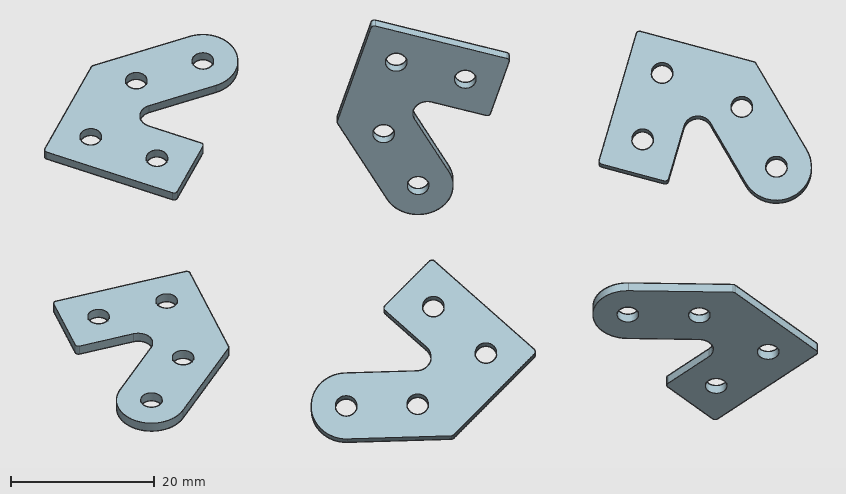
import cadquery as cq
import math

width = 20.02
length = 28.85
thickness = 1.5

leg_height = width / 2
arm_radius = 4.88
arm_angle = 45.0
corner_radius = 0.5
notch_radius = 2.02

hole_diameter = 3.0
hole_pitch = width / 2
hole_edge_distance = leg_height / 2
arm_end_x = 13.82
arm_end_y = length - arm_radius
arm_inner_hole = (6.75, 17.0)

slope = math.radians(arm_angle)
along_x, along_y = math.cos(slope), math.sin(slope)
normal_x, normal_y = -along_y, along_x

upper_tangent = (arm_end_x + arm_radius * normal_x, arm_end_y + arm_radius * normal_y)
lower_tangent = (arm_end_x - arm_radius * normal_x, arm_end_y - arm_radius * normal_y)
arm_tip = (arm_end_x + arm_radius * along_x, arm_end_y + arm_radius * along_y)

shoulder = (0, upper_tangent[1] - upper_tangent[0] * math.tan(slope))
notch = (lower_tangent[0] - (lower_tangent[1] - leg_height) / math.tan(slope), leg_height)


def make_plate():
    """Flat bracket outline with sharp corners and a rounded arm end."""
    return (
        cq.Workplane("XY")
        .moveTo(0, 0)
        .lineTo(width, 0)
        .lineTo(width, leg_height)
        .lineTo(*notch)
        .lineTo(*lower_tangent)
        .threePointArc(arm_tip, upper_tangent)
        .lineTo(*shoulder)
        .close()
        .extrude(thickness)
    )


def round_upright_edge(body, point, radius):
    """Round the vertical edge that stands at the given outline corner."""
    edge = cq.selectors.NearestToPointSelector((*point, thickness / 2))
    return body.edges("|Z").edges(edge).fillet(radius)


plate = make_plate()
for corner in [(0, 0), (width, 0), (width, leg_height), shoulder]:
    plate = round_upright_edge(plate, corner, corner_radius)
plate = round_upright_edge(plate, notch, notch_radius)

leg_holes = [(hole_edge_distance + i * hole_pitch, hole_edge_distance) for i in range(2)]
arm_holes = [(arm_end_x, arm_end_y), arm_inner_hole]
hole_cutters = (
    cq.Workplane("XY")
    .pushPoints(leg_holes + arm_holes)
    .circle(hole_diameter / 2)
    .extrude(thickness)
)

result = plate.cut(hole_cutters)